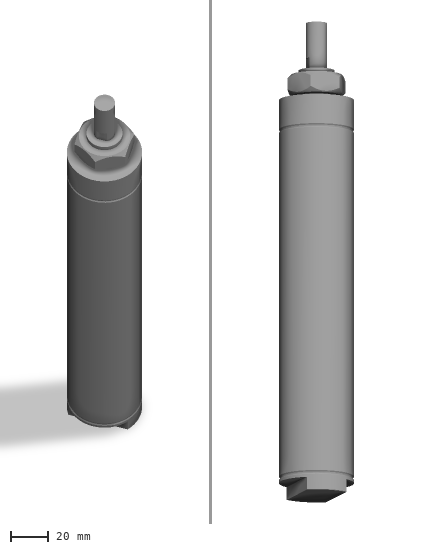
import cadquery as cq
import math

total_height = 252.7
collar_top = 227.5
nut_top = 225.0
nut_bottom = 213.8
head_top = 211.5
tongue_height = 6.8
rod_flat_top = 233.8

housing_diameter = 39.7
collar_diameter = 19.0
tongue_thickness = 22.0
groove_depth = 0.5
groove_width = 2.0
groove_floor_width = 0.8
groove_centers = (9.4, 194.9)
bottom_chamfer = 0.3

rod_diameter = 11.0
rod_across_flats = 9.5

nut_across_flats = 28.0
nut_across_corners = nut_across_flats / math.cos(math.pi / 6)
nut_height = nut_top - nut_bottom
nut_face_diameter = 27.0


def cylinder(diameter, bottom, top):
    """Upright cylinder on the Z axis."""
    return cq.Workplane("XY").workplane(offset=bottom).circle(diameter / 2).extrude(top - bottom)


def groove_cutter(center):
    """Ring with a trapezoid section, open at the housing surface."""
    outer = housing_diameter / 2
    floor = outer - groove_depth
    return (
        cq.Workplane("XZ")
        .moveTo(outer, center - groove_width / 2)
        .lineTo(outer, center + groove_width / 2)
        .lineTo(floor, center + groove_floor_width / 2)
        .lineTo(floor, center - groove_floor_width / 2)
        .close()
        .revolve(360, (0, 0, 0), (0, 1, 0))
    )


def make_housing():
    """Cylinder with a mounting tongue below and a nut collar above."""
    body = cylinder(housing_diameter, 0, head_top).faces("<Z").chamfer(bottom_chamfer)
    for center in groove_centers:
        body = body.cut(groove_cutter(center))
    waste_width = housing_diameter
    for side in (-1, 1):
        waste = (
            cq.Workplane("XY")
            .center(0, side * (tongue_thickness + waste_width) / 2)
            .rect(2 * housing_diameter, waste_width)
            .extrude(tongue_height)
        )
        body = body.cut(waste)
    return body.union(cylinder(collar_diameter, head_top, collar_top))


def make_rod():
    """Round rod standing on the collar, with two wrench flats at its foot."""
    foot = cylinder(rod_diameter, collar_top, rod_flat_top)
    flat_zone = (
        cq.Workplane("XY")
        .workplane(offset=collar_top)
        .rect(rod_diameter, rod_across_flats)
        .extrude(rod_flat_top - collar_top)
    )
    upper_zone = cylinder(rod_diameter, rod_flat_top, total_height)
    return foot.intersect(flat_zone).union(upper_zone)


def make_nut():
    """Hexagon nut with corners along Y, chamfered at both faces."""
    hexagon = (
        cq.Workplane("XY")
        .workplane(offset=nut_bottom)
        .polygon(6, nut_across_corners)
        .extrude(nut_height)
        .rotate((0, 0, 0), (0, 0, 1), 90)
    )
    chamfer = (nut_across_corners - nut_face_diameter) / 2
    turned_blank = cylinder(nut_across_corners, nut_bottom, nut_top).faces("<Z or >Z").chamfer(chamfer)
    return hexagon.intersect(turned_blank).cut(cylinder(collar_diameter, nut_bottom, nut_top))


housing = make_housing()
rod = make_rod()
nut = make_nut()

result = cq.Compound.makeCompound([housing.val(), rod.val(), nut.val()])